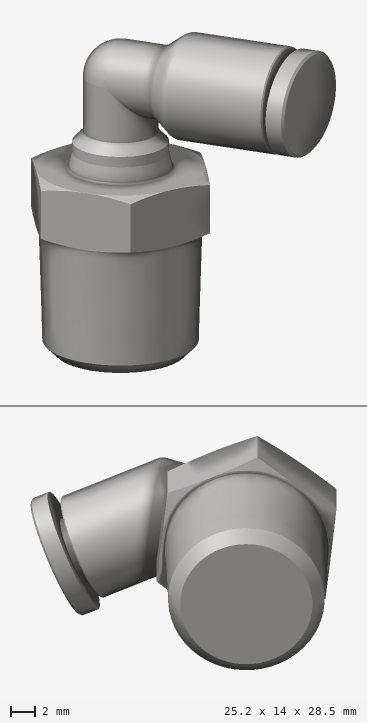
import cadquery as cq
import math

total_height = 28.5
pipe_radius = 3.1
socket_radius = 4.5
branch_height = total_height - socket_radius

thread_root_radius = 6.75
thread_tip_radius = 6.45
tip_chamfer = 1.0

nut_bottom = 11.05
nut_thickness = 5.0
nut_top = nut_bottom + nut_thickness
across_flats = 14.0
nut_chamfer_angle = math.radians(20)

seat_radius = 4.5
seat_fillet = 0.23
neck_base_radius = seat_radius - seat_fillet
neck_radius = 4.0
neck_taper_top = 17.45
neck_shoulder = 18.35
neck_top = neck_shoulder + neck_radius - pipe_radius

flare_start = 3.62
flare_angle = math.radians(37)
flare_blend_radius = 1.0
socket_end = 14.75
socket_chamfer = 0.1
collar_radius = 2.8

button_start = 15.5
button_end = 17.1
button_half_width = 5.4
button_half_height = 4.33
button_chamfer = 0.2


def nut():
    """Hexagon with corners on the X axis, trimmed by a cone at both ends."""
    corner_radius = across_flats / 2 / math.cos(math.pi / 6)
    face_radius = across_flats / 2
    corner_drop = (corner_radius - face_radius) * math.tan(nut_chamfer_angle)
    hexagon = (
        cq.Workplane("XY", origin=(0, 0, nut_bottom))
        .polygon(6, 2 * corner_radius)
        .extrude(nut_thickness)
    )
    trim = (
        cq.Workplane("XZ")
        .moveTo(0, nut_bottom)
        .lineTo(face_radius, nut_bottom)
        .lineTo(corner_radius, nut_bottom + corner_drop)
        .lineTo(corner_radius, nut_top - corner_drop)
        .lineTo(face_radius, nut_top)
        .lineTo(0, nut_top)
        .close()
        .revolve(360, (0, 0, 0), (0, 1, 0))
    )
    return hexagon.intersect(trim)


def stem():
    """Everything round about the vertical axis, from the thread tip to the elbow corner."""
    fillet_middle = seat_fillet * (1 - math.sqrt(0.5))
    return (
        cq.Workplane("XZ")
        .lineTo(thread_tip_radius - tip_chamfer, 0)
        .lineTo(thread_tip_radius, tip_chamfer)
        .lineTo(thread_root_radius, nut_bottom)
        .lineTo(seat_radius, nut_top)
        .threePointArc(
            (neck_base_radius + fillet_middle, nut_top + fillet_middle),
            (neck_base_radius, nut_top + seat_fillet),
        )
        .lineTo(neck_radius, neck_taper_top)
        .lineTo(neck_radius, neck_shoulder)
        .lineTo(pipe_radius, neck_top)
        .lineTo(pipe_radius, branch_height)
        .lineTo(0, branch_height)
        .close()
        .revolve(360, (0, 0, 0), (0, 1, 0))
    )


def elbow_corner():
    """Ball that rounds the outside of the bend."""
    return cq.Workplane("XY", origin=(0, 0, branch_height)).sphere(pipe_radius)


def branch():
    """Horizontal pipe, flared into the tube socket, with the thin collar beyond it."""
    blend_length = flare_blend_radius * math.sin(flare_angle)
    blend_rise = flare_blend_radius * (1 - math.cos(flare_angle))
    half_length = flare_blend_radius * math.sin(flare_angle / 2)
    half_rise = flare_blend_radius * (1 - math.cos(flare_angle / 2))
    cone_rise = socket_radius - pipe_radius - 2 * blend_rise
    cone_start = flare_start + blend_length
    cone_end = cone_start + cone_rise / math.tan(flare_angle)
    flare_end = cone_end + blend_length
    return (
        cq.Workplane("XZ", origin=(0, 0, branch_height))
        .lineTo(0, pipe_radius)
        .lineTo(flare_start, pipe_radius)
        .threePointArc(
            (flare_start + half_length, pipe_radius + half_rise),
            (cone_start, pipe_radius + blend_rise),
        )
        .lineTo(cone_end, socket_radius - blend_rise)
        .threePointArc(
            (flare_end - half_length, socket_radius - half_rise),
            (flare_end, socket_radius),
        )
        .lineTo(socket_end - socket_chamfer, socket_radius)
        .lineTo(socket_end, socket_radius - socket_chamfer)
        .lineTo(socket_end, collar_radius)
        .lineTo(button_start, collar_radius)
        .lineTo(button_start, 0)
        .close()
        .revolve(360, (0, 0, 0), (1, 0, 0))
    )


def release_button():
    """Elliptical plate, wider along Y, with its outer rim chamfered."""
    return (
        cq.Workplane("YZ", origin=(button_start, 0, branch_height))
        .ellipse(button_half_width, button_half_height)
        .extrude(button_end - button_start)
        .faces(">X")
        .chamfer(button_chamfer)
    )


result = stem().union(nut()).union(elbow_corner()).union(branch()).union(release_button())